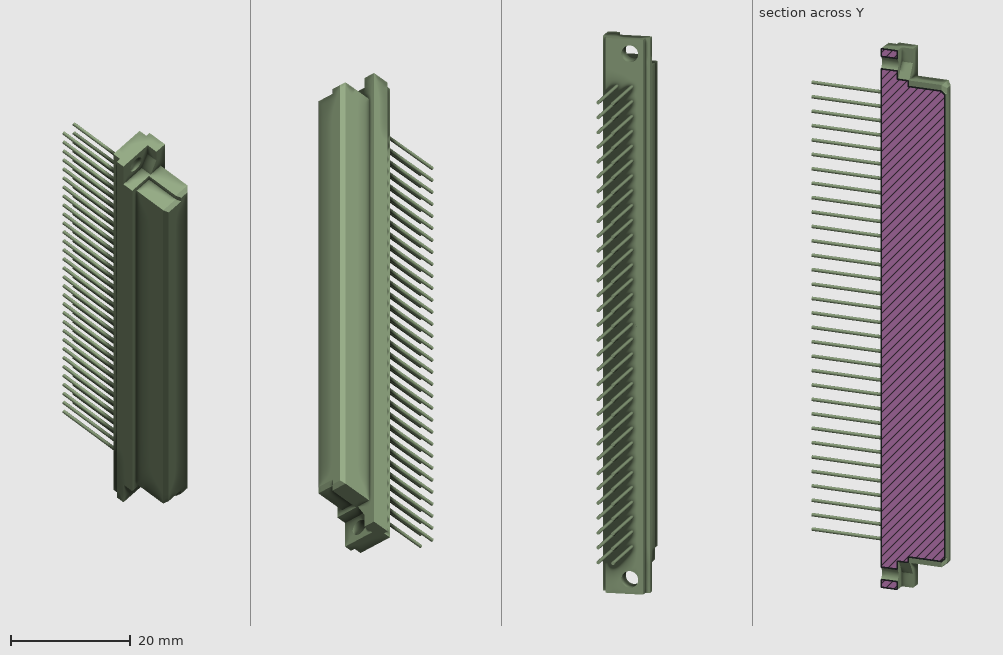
import cadquery as cq
import math

total_length_x = 24.8
flange_width = 8.1
body_height = 95.0

body_depth = 5.0
base_depth = 1.5
base_width = 6.5

pin_diameter = 0.6
pin_length = 13.1
pin_pitch = 2.54
pin_rows = 32
pin_columns = 2

nose_length = total_length_x - pin_length - body_depth
nose_width = 6.0
nose_height = 85.0
nose_step_drop = 1.0
nose_step_y = 0.1
nose_chamfer = 0.65

hole_diameter = 2.85
hole_spacing = 90.0
hole_y = -0.95
nut_across_flats = 5.0
nut_corner_radius = nut_across_flats / math.sqrt(3)
nut_seat_x = 3.0


def make_block(x_start, length, width, height):
    """Block starting at x_start, centred on Y and Z."""
    block = cq.Workplane("XY").box(length, width, height, centered=(False, True, True))
    return block.translate((x_start, 0, 0))


def make_body():
    base = make_block(0, base_depth, base_width, body_height)
    flange = make_block(base_depth, body_depth - base_depth, flange_width, body_height)
    return base.union(flange)


def make_nose():
    """Nose whose +Y half is taller than its -Y half, chamfered around the tip."""
    half_width = nose_width / 2
    tall = nose_height / 2
    short = tall - nose_step_drop
    outline = [
        (-half_width, -short),
        (nose_step_y, -short),
        (nose_step_y, -tall),
        (half_width, -tall),
        (half_width, tall),
        (nose_step_y, tall),
        (nose_step_y, short),
        (-half_width, short),
    ]
    nose = cq.Workplane("YZ", origin=(body_depth, 0, 0)).polyline(outline).close().extrude(nose_length)
    return nose.faces(">X").edges().chamfer(nose_chamfer)


def make_mounting_cut(end):
    """Hole and nut seat at one end; end is +1 for the top and -1 for the bottom.

    The seat follows the inner +Y side of the nut and is open to -Y and to the end of the body.
    """
    hole_z = end * hole_spacing / 2
    inner_z = hole_z - end * nut_across_flats / 2
    end_z = end * body_height / 2
    open_y = -flange_width / 2
    corner_y = hole_y + nut_corner_radius
    flat_end_y = hole_y + nut_corner_radius / 2
    seat_outline = [
        (open_y, inner_z),
        (flat_end_y, inner_z),
        (corner_y, hole_z),
        (corner_y, end_z),
        (open_y, end_z),
    ]
    seat = (
        cq.Workplane("YZ", origin=(nut_seat_x, 0, 0))
        .polyline(seat_outline)
        .close()
        .extrude(body_depth - nut_seat_x)
    )
    hole = cq.Workplane("YZ").center(hole_y, hole_z).circle(hole_diameter / 2).extrude(body_depth)
    return seat.union(hole)


def make_pins():
    """Grid of round pins, centred on the rear face."""
    return (
        cq.Workplane("YZ")
        .rarray(pin_pitch, pin_pitch, pin_columns, pin_rows)
        .circle(pin_diameter / 2)
        .extrude(-pin_length)
    )


housing = make_body().union(make_nose())
for end in (1, -1):
    housing = housing.cut(make_mounting_cut(end))

result = housing.union(make_pins())